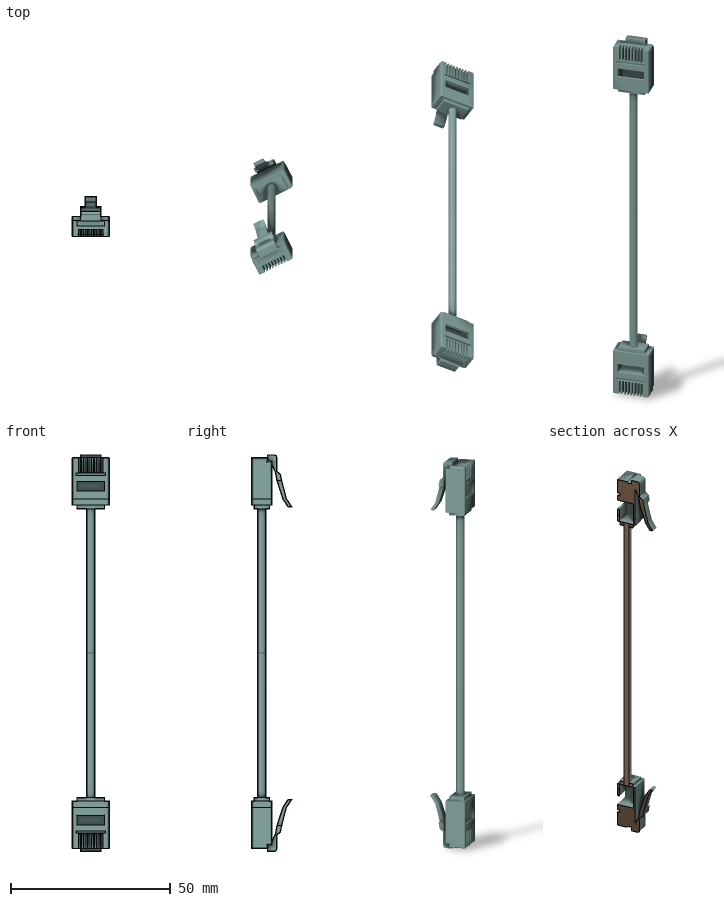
import cadquery as cq


TOTAL_LENGTH = 124.0
TOTAL_DEPTH = 12.5
TIP_Z = TOTAL_LENGTH / 2

CABLE_DIAMETER = 2.6

SHELL_WIDTH = 11.7
SHELL_DEPTH = 6.3
SHELL_LENGTH = 14.9
FRONT_Y = -SHELL_DEPTH / 2
BACK_Y = SHELL_DEPTH / 2
SHELL_TOP = TIP_Z - 0.9
SHELL_BOTTOM = SHELL_TOP - SHELL_LENGTH
SIDE_FILLET = 0.4
SHOULDER_Y = 1.9
SHOULDER_Z = SHELL_TOP - 1.1
SLEEVE_TOP = SHELL_BOTTOM + 2.0

COLLAR_WIDTH = 8.7
COLLAR_DEPTH = 4.8
COLLAR_LENGTH = 1.1
COLLAR_INSERTION = 0.2
COLLAR_BOTTOM = SHELL_BOTTOM - COLLAR_LENGTH
COLLAR_TOP = SHELL_BOTTOM + COLLAR_INSERTION
CAVITY_TOP = SHELL_TOP - 7.5
WINDOW_HEIGHT = 3.0

SLOT_COUNT = 8
SLOT_PITCH = 1.02
SLOT_WIDTH = 0.6
SLOT_DEPTH = 2.2
SLOT_LAND = 0.2
GROOVE_WIDTH = 9.3
GROOVE_HEIGHT = 0.7
GROOVE_DEPTH = 0.7
GROOVE_TOP = SHELL_TOP - 4.8
SLOT_BOTTOM = GROOVE_TOP + SLOT_LAND

RECESS_WIDTH = 8.7
RECESS_THICKNESS = 1.5
RECESS_DEPTH = 0.4

ARM_WIDTH = 6.3
TAIL_WIDTH = 3.5
LATCH_ROOT_Y = 1.7
ARM_BACK_Y = 4.7
LATCH_CORNER_RADIUS = 1.0
LEDGE_Z = TIP_Z - 8.1
LEDGE_INNER_Y = 4.7
LEDGE_OUTER_Y = 6.2
BULGE_START_Z = 56.8
BULGE_SHOULDER_Y = 5.8
BULGE_SHOULDER_Z = 56.0
ARM_SPLIT_Z = 58.8
ARM_INNER_BEND_Y = 4.2
ARM_INNER_BEND_Z = 56.6
TAIL_BEND_Z = 48.3
TAIL_BEND_INNER_Y = 6.6
TAIL_BEND_OUTER_Y = 7.7
TAIL_END_Z = 45.8
TAIL_END_INNER_Y = 8.2
TAIL_END_OUTER_Y = FRONT_Y + TOTAL_DEPTH


def block(width, front, back, bottom, top):
    """Box centred on X = 0, between two Y planes and two heights."""
    base = cq.Workplane("XY", origin=(0, (front + back) / 2, bottom))
    return base.rect(width, back - front).extrude(top - bottom)


def front_pocket(width, depth, bottom, top):
    """Cutter for a rectangular pocket in the front face."""
    return block(width, FRONT_Y, FRONT_Y + depth, bottom, top)


def make_shell():
    """Outer block with lowered rear shoulders and rounded side edges."""
    outline = [
        (FRONT_Y, SHELL_BOTTOM),
        (FRONT_Y, SHELL_TOP),
        (SHOULDER_Y, SHELL_TOP),
        (SHOULDER_Y, SHOULDER_Z),
        (BACK_Y, SHOULDER_Z),
        (BACK_Y, SHELL_BOTTOM),
    ]
    shell = cq.Workplane("YZ").polyline(outline).close().extrude(SHELL_WIDTH / 2, both=True)
    for side in ("<X", ">X"):
        shell = shell.faces(side).edges("not <Z").fillet(SIDE_FILLET)
    return shell


def make_arm():
    """Latch arm from its root at the tip to the ledge."""
    return (
        cq.Workplane("YZ")
        .moveTo(LATCH_ROOT_Y, TIP_Z)
        .lineTo(ARM_BACK_Y - LATCH_CORNER_RADIUS, TIP_Z)
        .radiusArc((ARM_BACK_Y, TIP_Z - LATCH_CORNER_RADIUS), LATCH_CORNER_RADIUS)
        .lineTo(ARM_BACK_Y, BULGE_START_Z)
        .lineTo(BULGE_SHOULDER_Y, BULGE_SHOULDER_Z)
        .lineTo(LEDGE_OUTER_Y, LEDGE_Z)
        .lineTo(LEDGE_INNER_Y, LEDGE_Z)
        .lineTo(ARM_INNER_BEND_Y, ARM_INNER_BEND_Z)
        .lineTo(BACK_Y, ARM_SPLIT_Z)
        .lineTo(BACK_Y, SHOULDER_Z)
        .lineTo(LATCH_ROOT_Y, SHOULDER_Z)
        .close()
        .extrude(ARM_WIDTH / 2, both=True)
    )


def make_tail():
    """Narrow finger tail below the ledge, with one bend."""
    outline = [
        (LEDGE_OUTER_Y, LEDGE_Z),
        (TAIL_BEND_OUTER_Y, TAIL_BEND_Z),
        (TAIL_END_OUTER_Y, TAIL_END_Z),
        (TAIL_END_INNER_Y, TAIL_END_Z),
        (TAIL_BEND_INNER_Y, TAIL_BEND_Z),
        (LEDGE_INNER_Y, LEDGE_Z),
    ]
    return cq.Workplane("YZ").polyline(outline).close().extrude(TAIL_WIDTH / 2, both=True)


def make_hollow_shell():
    """Shell with the cavity that is open at the rear."""
    cavity = block(COLLAR_WIDTH, -COLLAR_DEPTH / 2, COLLAR_DEPTH / 2, SHELL_BOTTOM, CAVITY_TOP)
    return make_shell().cut(cavity)


def rear_zone():
    """Region of the shell that belongs to the sleeve."""
    return block(SHELL_WIDTH, FRONT_Y, BACK_Y, SHELL_BOTTOM, SLEEVE_TOP)


def make_housing():
    """Shell ahead of the sleeve, with the latch and all front and tip cuts."""
    housing = make_hollow_shell().cut(rear_zone())
    housing = housing.union(make_arm()).union(make_tail())

    wall = (SHELL_DEPTH - COLLAR_DEPTH) / 2
    housing = housing.cut(front_pocket(COLLAR_WIDTH, wall, CAVITY_TOP - WINDOW_HEIGHT, CAVITY_TOP))
    housing = housing.cut(front_pocket(GROOVE_WIDTH, GROOVE_DEPTH, GROOVE_TOP - GROOVE_HEIGHT, GROOVE_TOP))

    slot = front_pocket(SLOT_WIDTH, SLOT_DEPTH, SLOT_BOTTOM, SHELL_TOP)
    for i in range(SLOT_COUNT):
        x = (i - (SLOT_COUNT - 1) / 2) * SLOT_PITCH
        housing = housing.cut(slot.translate((x, 0, 0)))

    recess_front = LATCH_ROOT_Y - RECESS_THICKNESS
    recess = block(RECESS_WIDTH, recess_front, LATCH_ROOT_Y, SHELL_TOP - RECESS_DEPTH, SHELL_TOP)
    return housing.cut(recess)


def make_sleeve():
    """Rear ring of the shell, flush with the housing."""
    return make_hollow_shell().intersect(rear_zone())


def make_cable():
    """Round cable that ends at the inner faces of both collars."""
    return cq.Workplane("XY").circle(CABLE_DIAMETER / 2).extrude(COLLAR_TOP, both=True)


def make_collar(cable):
    """Plate that closes the cavity around the cable."""
    plate = block(COLLAR_WIDTH, -COLLAR_DEPTH / 2, COLLAR_DEPTH / 2, COLLAR_BOTTOM, COLLAR_TOP)
    return plate.cut(cable)


cable = make_cable()
bodies = [cable.val()]
for part in (make_housing(), make_sleeve(), make_collar(cable)):
    bodies.append(part.val())
    bodies.append(part.mirror("XY").val())

result = cq.Compound.makeCompound(bodies)